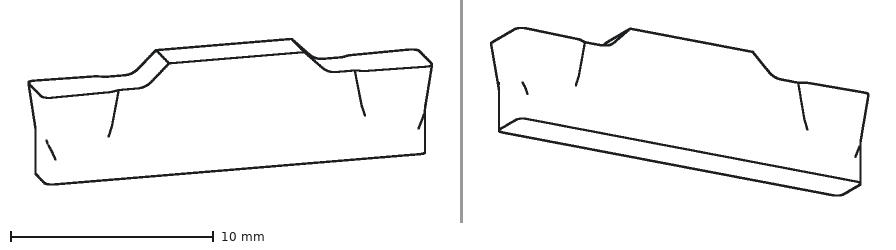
import cadquery as cq
import math

shank_width = 2.35
shank_length = 19.52
shank_corner_radius = 0.38
seat_height = 4.6
overall_height = 5.76
hump_top_length = 6.95
hump_ramp_angle = 44.0
hump_root_radius = 1.0

overall_length = 20.05
head_front_width = 3.081
head_corner_radius = 0.4
front_relief = 7.3
side_relief = 5.5
side_back_taper = 2.3
flank_length = 3.53
shoulder_length = 3.97
shoulder_foot_length = 3.58
shoulder_foot_height = 2.55
flank_foot_length = 3.45
facet_angle = 18.0

half_shank_width = shank_width / 2
front_y = -overall_length / 2
half_front_width = head_front_width / 2
block_width = 2 * head_front_width
cutter_size = 2 * overall_length


def make_shank():
    ramp_run = (overall_height - seat_height) / math.tan(math.radians(hump_ramp_angle))
    half_top = hump_top_length / 2
    half_root = half_top + ramp_run
    half_length = shank_length / 2
    shank = (
        cq.Workplane("YZ")
        .polyline([
            (-half_length, 0),
            (half_length, 0),
            (half_length, seat_height),
            (half_root, seat_height),
            (half_top, overall_height),
            (-half_top, overall_height),
            (-half_root, seat_height),
            (-half_length, seat_height),
        ])
        .close()
        .extrude(half_shank_width, both=True)
    )
    shank = shank.edges("|Z").fillet(shank_corner_radius)
    for side in (-1, 1):
        root_point = (0, side * half_root, seat_height)
        root_edge = cq.selectors.NearestToPointSelector(root_point)
        shank = shank.edges(root_edge).fillet(hump_root_radius)
    return shank


def beyond_plane(point, normal):
    """Block filling the space on the normal side of a plane."""
    plane = cq.Plane(origin=point, normal=normal)
    return cq.Workplane(plane).rect(cutter_size, cutter_size).extrude(cutter_size)


def mirrored_cut(solid, point, normal):
    """Trim the +X flank by a plane and the -X flank by its mirror image."""
    cutter = beyond_plane(point, normal)
    return solid.cut(cutter).cut(cutter.mirror("YZ"))


def plane_normal(a, b, c):
    """Normal of the plane through three points, turned to face +X."""
    normal = (cq.Vector(*b) - cq.Vector(*a)).cross(cq.Vector(*c) - cq.Vector(*a))
    return normal if normal.x > 0 else -normal


def make_head():
    """Cutting head at the -Y end."""
    taper_slope = math.tan(math.radians(side_back_taper))
    relief_slope = math.tan(math.radians(side_relief))
    front_slope = math.tan(math.radians(front_relief))

    head = (
        cq.Workplane("XY", origin=(0, front_y, 0))
        .box(block_width, shoulder_length, seat_height, centered=(True, False, False))
    )

    head = head.cut(beyond_plane((0, front_y, seat_height), (0, -1, -front_slope)))
    side_normal = (1, taper_slope, -relief_slope)
    head = mirrored_cut(head, (half_front_width, front_y, seat_height), side_normal)
    head = head.faces("<Y").edges("not |X").fillet(head_corner_radius)

    flank_rear_x = half_front_width - taper_slope * flank_length
    flank_foot_drop = (
        half_front_width - taper_slope * flank_foot_length - half_shank_width
    ) / relief_slope
    flank_rear = (flank_rear_x, front_y + flank_length, seat_height)
    shoulder_foot = (half_shank_width, front_y + shoulder_foot_length, shoulder_foot_height)
    shoulder_end = (half_shank_width, front_y + shoulder_length, seat_height)

    facet_slope = math.tan(math.radians(facet_angle))
    facet_width_loss = flank_rear_x - half_shank_width + facet_slope * (flank_length - flank_foot_length)
    facet_normal = (1, facet_slope, -facet_width_loss / flank_foot_drop)
    head = mirrored_cut(head, flank_rear, facet_normal)

    head = mirrored_cut(head, flank_rear, plane_normal(flank_rear, shoulder_foot, shoulder_end))
    return head


head = make_head()
result = make_shank().union(head).union(head.mirror("XZ"))